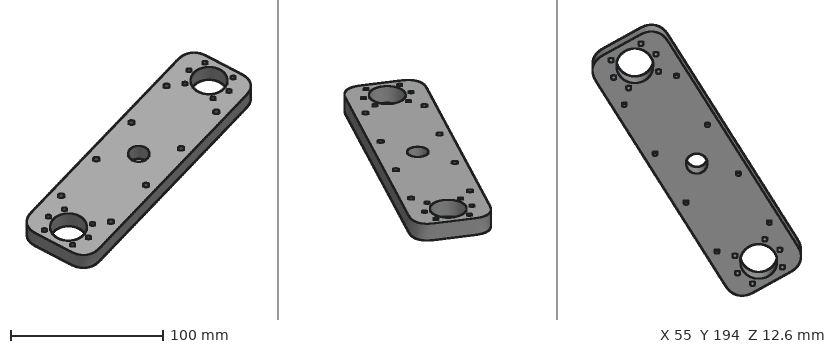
import cadquery as cq

length = 194.0
width = 55.0
thickness = 12.6
corner_reach = 15.0

center_bore_diameter = 14.0
end_bore_diameter = 24.2
end_bore_offset = 80.0

bolt_circle_radius = 16.1
bolt_hole_diameter = 3.3
bolt_angles = (-45, 0, 45, 135, 180, 225)

screw_pitch = 40.0
screw_rows = 2
screws_per_row = 4
screw_hole_diameter = 3.1
screw_recess_diameter = 4.0
screw_recess_depth = thickness / 2


def corner_blend(sign_x, sign_y):
    """Curvature-continuous corner edge from the long side to the end side."""
    corner = cq.Vector(sign_x * width / 2, sign_y * length / 2)
    along_side = cq.Vector(0, -sign_y * corner_reach)
    along_end = cq.Vector(-sign_x * corner_reach, 0)
    control_points = [corner + along_side * share for share in (1, 2 / 3, 1 / 3)]
    control_points += [corner + along_end * share for share in (1 / 3, 2 / 3, 1)]
    return cq.Edge.makeBezier(control_points)


def make_plate():
    half_side = length / 2 - corner_reach
    half_end = width / 2 - corner_reach
    edges = [corner_blend(x, y) for x in (-1, 1) for y in (-1, 1)]
    for sign in (-1, 1):
        x = sign * width / 2
        y = sign * length / 2
        edges.append(cq.Edge.makeLine(cq.Vector(x, -half_side), cq.Vector(x, half_side)))
        edges.append(cq.Edge.makeLine(cq.Vector(-half_end, y), cq.Vector(half_end, y)))
    outline = cq.Wire.assembleEdges(edges)
    return cq.Workplane("XY").add(outline).toPending().extrude(thickness)


def drill_end_bore(plate, center_y):
    top = plate.faces(">Z").workplane(origin=(0, center_y, thickness))
    plate = top.hole(end_bore_diameter)
    for angle in bolt_angles:
        top = plate.faces(">Z").workplane(origin=(0, center_y, thickness))
        plate = top.polarArray(bolt_circle_radius, angle, 360, 1).hole(bolt_hole_diameter)
    return plate


result = make_plate()
result = result.faces(">Z").workplane(origin=(0, 0, thickness)).hole(center_bore_diameter)
for bore_y in (-end_bore_offset, end_bore_offset):
    result = drill_end_bore(result, bore_y)
result = (
    result.faces(">Z")
    .workplane(origin=(0, 0, thickness))
    .rarray(screw_pitch, screw_pitch, screw_rows, screws_per_row)
    .cboreHole(screw_hole_diameter, screw_recess_diameter, screw_recess_depth)
)